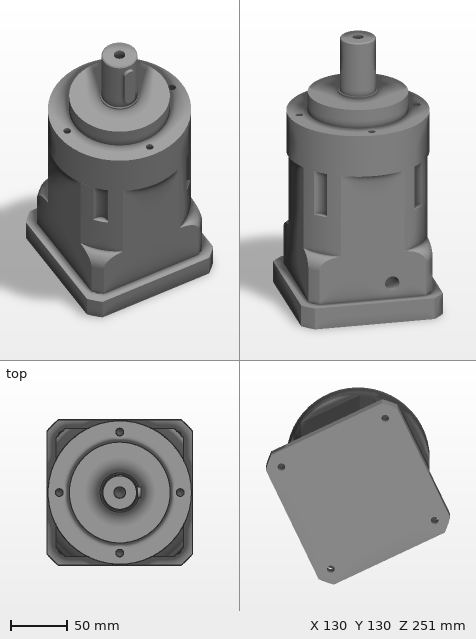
import cadquery as cq
import math


plate_top = 20.0
shoulder_top = 64.4
input_top = 72.0
ring_top = 100.6
flange_bottom = 142.0
flange_top = 181.0
pilot_top = 198.6
collar_top = 200.0
shaft_top = 251.0

plate_width = 130.0
plate_corner_radius = 85.0
body_width = 114.0
body_corner_radius = 64.0
base_corner_radius = 75.0
shoulder_radius = 12.0

motor_bolt_circle_radius = 72.5
motor_bolt_diameter = 6.8

access_diameter = 13.0
access_y = -18.0
access_height = 34.6
access_core_radius = 25.0

flange_diameter = 2 * body_corner_radius
pilot_diameter = 90.0
flange_hole_diameter = 6.8
flange_hole_circle_radius = 54.0
flange_hole_depth = 20.0
scallop_radius = 7.0
scallop_circle_radius = 65.4

shaft_diameter = 32.0
collar_diameter = 35.0
shaft_chamfer = 1.0
center_hole_diameter = 10.2
center_hole_depth = 25.0
key_width = 10.0
key_length = 40.0
key_end_gap = 5.0
key_outer_x = 19.0
key_inner_x = 11.0

drill_point_half_angle = math.radians(59)
copies_per_circle = 4
corner_angle = 45.0


def cylinder(radius, bottom, top):
    return cq.Workplane("XY").workplane(offset=bottom).circle(radius).extrude(top - bottom)


def rounded_square(width, corner_radius, bottom, top):
    """Square prism whose corners are trimmed by a cylinder about Z."""
    prism = cq.Workplane("XY").workplane(offset=bottom).rect(width, width).extrude(top - bottom)
    return prism.intersect(cylinder(corner_radius, bottom, top))


def drilled_hole(diameter, top, depth):
    """Tool for a hole on the Z axis, drilled down from the top, with a conical point."""
    radius = diameter / 2
    full_depth = depth + radius / math.tan(drill_point_half_angle)
    profile = [(0, top), (radius, top), (radius, top - depth), (0, top - full_depth)]
    return cq.Workplane("XZ").polyline(profile).close().revolve(360, (0, 0), (0, 1))


def around_axis(tool, radius, start_angle):
    """Copies of a tool, equally spaced on a circle about Z."""
    first = tool.translate((radius, 0, 0))
    angles = [start_angle + i * 360 / copies_per_circle for i in range(copies_per_circle)]
    copies = [first.rotate((0, 0, 0), (0, 0, 1), angle) for angle in angles]
    return cq.Workplane("XY").newObject([copy.val() for copy in copies])


def cut_all(body, tools):
    for tool in tools.vals():
        body = body.cut(cq.Workplane(tool))
    return body


def make_input_housing():
    plate = rounded_square(plate_width, plate_corner_radius, 0, plate_top)
    base = rounded_square(body_width, base_corner_radius, plate_top, shoulder_top)
    rounded_top = cylinder(base_corner_radius, plate_top, shoulder_top).faces(">Z").edges()
    base = base.intersect(rounded_top.fillet(shoulder_radius))
    neck = rounded_square(body_width, body_corner_radius, plate_top, input_top)
    housing = plate.union(base).union(neck)

    motor_bolt = cylinder(motor_bolt_diameter / 2, 0, plate_top)
    housing = cut_all(housing, around_axis(motor_bolt, motor_bolt_circle_radius, corner_angle))

    access = (
        cq.Workplane("YZ")
        .center(access_y, access_height)
        .circle(access_diameter / 2)
        .extrude(-body_width / 2)
        .cut(cylinder(access_core_radius, plate_top, shoulder_top))
    )
    return housing.cut(access)


def make_ring_gear():
    return rounded_square(body_width, body_corner_radius, input_top, ring_top)


def make_bearing_housing():
    housing = rounded_square(body_width, body_corner_radius, ring_top, flange_bottom)
    scallop = cylinder(scallop_radius, ring_top, flange_bottom)
    return cut_all(housing, around_axis(scallop, scallop_circle_radius, corner_angle))


def make_key():
    """Round-ended key along the shaft, facing +X."""
    return (
        cq.Workplane("YZ")
        .workplane(offset=key_inner_x)
        .center(0, shaft_top - key_end_gap - key_length / 2)
        .slot2D(key_length, key_width, 90)
        .extrude(key_outer_x - key_inner_x)
    )


def make_output_unit():
    """Flange, pilot, collar, shaft and key in one piece."""
    flange = cylinder(flange_diameter / 2, flange_bottom, flange_top)
    pilot = cylinder(pilot_diameter / 2, flange_top, pilot_top)
    collar = cylinder(collar_diameter / 2, pilot_top, collar_top)
    shaft = cylinder(shaft_diameter / 2, collar_top, shaft_top)
    shaft = shaft.faces(">Z").edges().chamfer(shaft_chamfer)
    unit = flange.union(pilot).union(collar).union(shaft).union(make_key())

    flange_hole = drilled_hole(flange_hole_diameter, flange_top, flange_hole_depth)
    unit = cut_all(unit, around_axis(flange_hole, flange_hole_circle_radius, 0))
    return unit.cut(drilled_hole(center_hole_diameter, shaft_top, center_hole_depth))


input_housing = make_input_housing()
ring_gear = make_ring_gear()
bearing_housing = make_bearing_housing()
output_unit = make_output_unit()

result = cq.Compound.makeCompound(
    [input_housing.val(), ring_gear.val(), bearing_housing.val(), output_unit.val()]
)